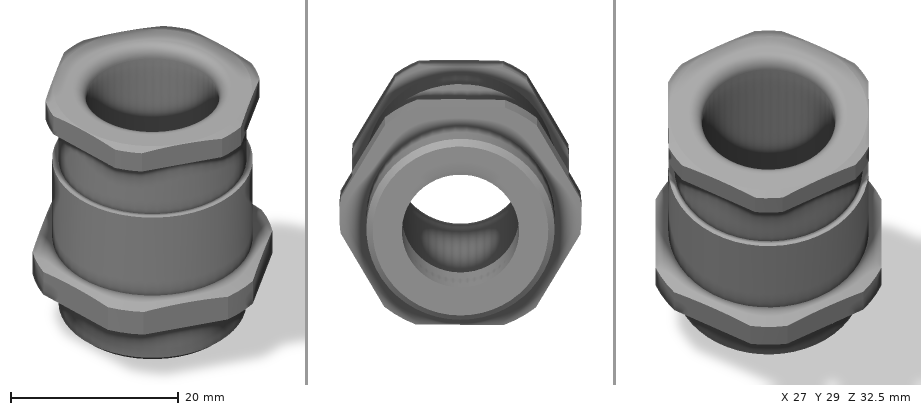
import cadquery as cq

total_height = 32.5
hex_base = 6.5
hex_top = 10.5
body_top = 22.0
nut_base = 29.5

neck_diameter = 22.5
body_diameter = 24.0
bottom_chamfer = 0.75
hex_flats = 27.0
hex_corners = 29.0
nut_flats = 24.0
nut_corners = 26.0
nut_face_diameter = 23.8
hex_corner_drop = 0.65
nut_corner_drop = 0.3

upper_bore_diameter = 16.0
through_bore_diameter = 14.0
bore_step_height = hex_base
mouth_radius = 1.5


def cylinder(diameter, bottom, top):
    return cq.Workplane("XY").workplane(offset=bottom).circle(diameter / 2).extrude(top - bottom)


def rounded_hex(flats, corners, face_diameter, corner_drop, bottom, top):
    """Hexagon with flats facing X, its corners turned round and its top edge coned."""
    blank = cq.Workplane("XY").workplane(offset=bottom)
    blank = blank.polygon(6, flats, circumscribed=True).extrude(top - bottom)
    turned_envelope = (
        cq.Workplane("XZ")
        .moveTo(0, bottom)
        .lineTo(corners / 2, bottom)
        .lineTo(corners / 2, top - corner_drop)
        .lineTo(face_diameter / 2, top)
        .lineTo(0, top)
        .close()
        .revolve(360, (0, 0, 0), (0, 1, 0))
    )
    return blank.intersect(turned_envelope)


neck = cylinder(neck_diameter, 0, total_height - mouth_radius)
neck = neck.faces("<Z").chamfer(bottom_chamfer)
body = cylinder(body_diameter, hex_base, body_top)
wrench_hex = rounded_hex(hex_flats, hex_corners, body_diameter, hex_corner_drop, hex_base, hex_top)
cap_nut = rounded_hex(
    nut_flats, nut_corners, nut_face_diameter, nut_corner_drop, nut_base, total_height
)
outside = neck.union(body).union(wrench_hex).union(cap_nut)

upper_bore_radius = upper_bore_diameter / 2
through_bore_radius = through_bore_diameter / 2
bore = (
    cq.Workplane("XZ")
    .lineTo(through_bore_radius, 0)
    .lineTo(through_bore_radius, bore_step_height)
    .lineTo(upper_bore_radius, bore_step_height)
    .lineTo(upper_bore_radius, total_height - mouth_radius)
    .radiusArc((upper_bore_radius + mouth_radius, total_height), mouth_radius)
    .lineTo(0, total_height)
    .close()
    .revolve(360, (0, 0, 0), (0, 1, 0))
)

result = outside.cut(bore)